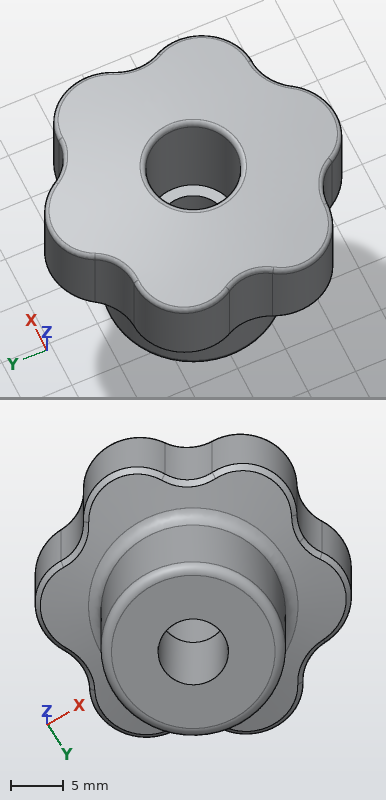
import cadquery as cq
import math

grip_radius = 15.0
lobe_count = 6
lobe_radius = 5.25
valley_radius = 4.5
total_height = 23.5

stem_diameter = 17.5
stem_radius = stem_diameter / 2
stem_edge_fillet = 1.0
collar_fillet = 1.5

dome_radius = 75.0
cone_slope = 0.217
cone_start_height = 12.18
top_edge_fillet = 0.5
bottom_edge_chamfer = 0.5

through_diameter = 6.65
counterbore_diameter = 9.0
counterbore_depth = 12.0
mouth_fillet = 0.5

blank_margin = 1.5
blank_radius = grip_radius + blank_margin
joint_tolerance = 0.03


def polar(radius, angle):
    """Point at a radius and an angle in degrees from +X."""
    turn = math.radians(angle)
    return (radius * math.cos(turn), radius * math.sin(turn))


def lobed_prism():
    """Prism of alternating tangent lobe and valley arcs, one lobe on +Y."""
    half_pitch = 180.0 / lobe_count
    lobe_center = grip_radius - lobe_radius
    center_gap = lobe_radius + valley_radius
    offset = lobe_center * math.sin(math.radians(half_pitch))
    valley_center = lobe_center * math.cos(math.radians(half_pitch)) + math.sqrt(center_gap**2 - offset**2)
    valley_depth_radius = valley_center - valley_radius

    vx, vy = polar(valley_center, half_pitch)
    share = lobe_radius / center_gap
    touch_x = lobe_center + share * (vx - lobe_center)
    touch_y = share * vy
    touch_radius = math.hypot(touch_x, touch_y)
    touch_angle = math.degrees(math.atan2(touch_y, touch_x))

    outline = cq.Workplane("XY").moveTo(*polar(touch_radius, 90.0 - touch_angle))
    for index in range(lobe_count):
        axis = 90.0 + 2 * half_pitch * index
        next_axis = axis + 2 * half_pitch
        outline = outline.threePointArc(
            polar(grip_radius, axis), polar(touch_radius, axis + touch_angle)
        )
        outline = outline.threePointArc(
            polar(valley_depth_radius, axis + half_pitch),
            polar(touch_radius, next_axis - touch_angle),
        )
    return outline.close().extrude(2 * total_height)


def grip_blank():
    """Round blank between the underside cone and the dome."""
    mouth_radius = counterbore_diameter / 2 + mouth_fillet
    dome_center = total_height - math.sqrt(dome_radius**2 - mouth_radius**2)
    apex = dome_center + dome_radius
    mid_radius = blank_radius / 2
    mid_height = dome_center + math.sqrt(dome_radius**2 - mid_radius**2)
    rim_height = dome_center + math.sqrt(dome_radius**2 - blank_radius**2)
    cone_tip = cone_start_height - cone_slope * stem_radius
    cone_rim = cone_tip + cone_slope * blank_radius
    return (
        cq.Workplane("XZ")
        .moveTo(0, cone_tip)
        .lineTo(blank_radius, cone_rim)
        .lineTo(blank_radius, rim_height)
        .threePointArc((mid_radius, mid_height), (0, apex))
        .close()
        .revolve(360, (0, 0, 0), (0, 1, 0))
    )


def grip():
    """Lobed grip with a rounded upper edge and a chamfered lower edge."""
    body = grip_blank().intersect(lobed_prism())
    body = body.faces(">Z").edges("not %LINE").fillet(top_edge_fillet)
    return body.faces("<Z").edges("not %LINE").chamfer(bottom_edge_chamfer)


def add_stem(body):
    """Join the stem, round its lower edge and blend it into the grip."""
    stem = cq.Workplane("XY").circle(stem_radius).extrude(cone_start_height + cone_slope * stem_radius)
    body = body.union(stem)
    joint = cq.selectors.BoxSelector(
        (-grip_radius, -grip_radius, cone_start_height - joint_tolerance),
        (grip_radius, grip_radius, cone_start_height + joint_tolerance),
    )
    body = body.edges("%CIRCLE").edges(joint).fillet(collar_fillet)
    return body.faces("<Z").edges().fillet(stem_edge_fillet)


def cut_bore(body):
    """Cut the stepped bore and round its mouth on the dome."""
    through = cq.Workplane("XY").circle(through_diameter / 2).extrude(2 * total_height)
    counterbore = (
        cq.Workplane("XY", origin=(0, 0, total_height - counterbore_depth))
        .circle(counterbore_diameter / 2)
        .extrude(total_height)
    )
    body = body.cut(through).cut(counterbore)
    mouth = cq.selectors.BoxSelector(
        (-counterbore_diameter, -counterbore_diameter, total_height - mouth_fillet),
        (counterbore_diameter, counterbore_diameter, total_height + mouth_fillet),
        boundingbox=True,
    )
    return body.edges(mouth).fillet(mouth_fillet)


result = cut_bore(add_stem(grip()))